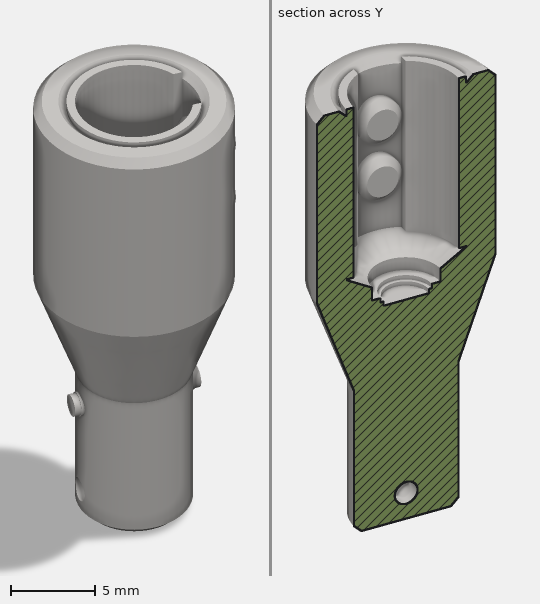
import cadquery as cq
import math

total_height = 30.0
head_radius = 6.0
head_bottom = 16.92
shank_radius = 3.5
shank_top = 10.02
edge_chamfer = 0.5

socket_radius = 3.5
socket_floor = 18.0
cone_slope = math.radians(31)
well_radius = 2.28
well_depth = 0.9
well_step_radius = 1.7
well_step_depth = 0.3
well_core_radius = 1.5
well_core_depth = 0.3

sleeve_radius = 4.02
groove_radius = 4.5
groove_depth = groove_radius - sleeve_radius

keyway_width = 3.18
key_pin_radius = 1.5
key_pin_chamfer = 0.45
key_pin_tip = 3.0
key_pin_root = 4.5
key_plug_radius = 1.25
key_pin_heights = (26.0, 22.02)

stud_height = 8.25
stud_collar_radius = 0.75
stud_collar_reach = 3.63
stud_radius = 0.7
stud_reach = 4.02
cross_hole_height = 1.83
cross_hole_radius = 0.75


def revolve_about_z(profile):
    """Turn a closed outline of (radius, height) points once around the Z axis."""
    return cq.Workplane("XZ").polyline(profile).close().revolve(360, (0, 0, 0), (0, 1, 0))


def rod_along_y(radius, y_start, y_end, height):
    """Cylinder parallel to Y, centred on X = 0 at the given height."""
    start = cq.Vector(0, y_start, height)
    return cq.Workplane(cq.Solid.makeCylinder(radius, y_end - y_start, start, cq.Vector(0, 1, 0)))


def make_body():
    """Solid outer shape with chamfered top and bottom rims."""
    profile = [
        (0, 0),
        (shank_radius - edge_chamfer, 0),
        (shank_radius, edge_chamfer),
        (shank_radius, shank_top),
        (head_radius, head_bottom),
        (head_radius, total_height - edge_chamfer),
        (head_radius - edge_chamfer, total_height),
        (0, total_height),
    ]
    return revolve_about_z(profile)


def make_socket():
    """Cavity: straight bore, conical floor under the sleeve, and a stepped well."""
    cone_bottom = socket_floor - (sleeve_radius - well_radius) * math.tan(cone_slope)
    well_floor = cone_bottom - well_depth
    step_floor = well_floor - well_step_depth
    core_floor = step_floor - well_core_depth
    profile = [
        (0, total_height),
        (socket_radius, total_height),
        (socket_radius, socket_floor),
        (sleeve_radius, socket_floor),
        (well_radius, cone_bottom),
        (well_radius, well_floor),
        (well_step_radius, well_floor),
        (well_step_radius, step_floor),
        (well_core_radius, step_floor),
        (well_core_radius, core_floor),
        (0, core_floor),
    ]
    return revolve_about_z(profile)


def make_rim_groove():
    """Groove with a vertical inner wall and a sloping outer wall."""
    profile = [
        (sleeve_radius, total_height),
        (groove_radius, total_height),
        (sleeve_radius, total_height - groove_depth),
    ]
    return revolve_about_z(profile)


def make_keyway():
    """Slot through the sleeve wall, ending on the sleeve's outer radius."""
    depth = total_height - socket_floor
    floor_plane = cq.Workplane("XY", origin=(0, 0, socket_floor))
    slot = floor_plane.center(0, sleeve_radius / 2).rect(keyway_width, sleeve_radius).extrude(depth)
    sleeve_envelope = floor_plane.circle(sleeve_radius).extrude(depth)
    return slot.intersect(sleeve_envelope)


def make_key_pin(height):
    """Pin with a chamfered tip in the keyway and a flat plug end level with the head."""
    pin = rod_along_y(key_pin_radius, key_pin_tip, key_pin_root, height)
    pin = pin.faces("<Y").chamfer(key_pin_chamfer)
    return pin.union(rod_along_y(key_plug_radius, key_pin_root, head_radius, height))


def make_studs():
    """Collared stud standing out of the shank on both the -Y and +Y sides."""
    collar = rod_along_y(stud_collar_radius, -stud_collar_reach, stud_collar_reach, stud_height)
    return collar.union(rod_along_y(stud_radius, -stud_reach, stud_reach, stud_height))


result = make_body().cut(make_socket()).cut(make_rim_groove()).cut(make_keyway())
for pin_height in key_pin_heights:
    result = result.union(make_key_pin(pin_height))
result = result.union(make_studs())
result = result.cut(rod_along_y(cross_hole_radius, -head_radius, head_radius, cross_hole_height))